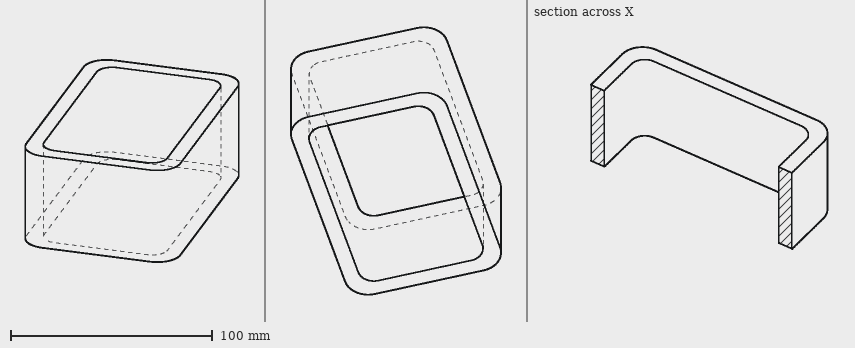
import cadquery as cq

width = 80.0
length = 120.0
height = 50.0
wall = 8.0
outer_corner_radius = 12.0
inner_corner_radius = 8.0


def rounded_block(size_x, size_y, corner_radius):
    """Full-height block on the XY plane with rounded vertical edges."""
    block = cq.Workplane("XY").rect(size_x, size_y).extrude(height)
    return block.edges("|Z").fillet(corner_radius)


outer_body = rounded_block(width, length, outer_corner_radius)
opening = rounded_block(width - 2 * wall, length - 2 * wall, inner_corner_radius)

result = outer_body.cut(opening)